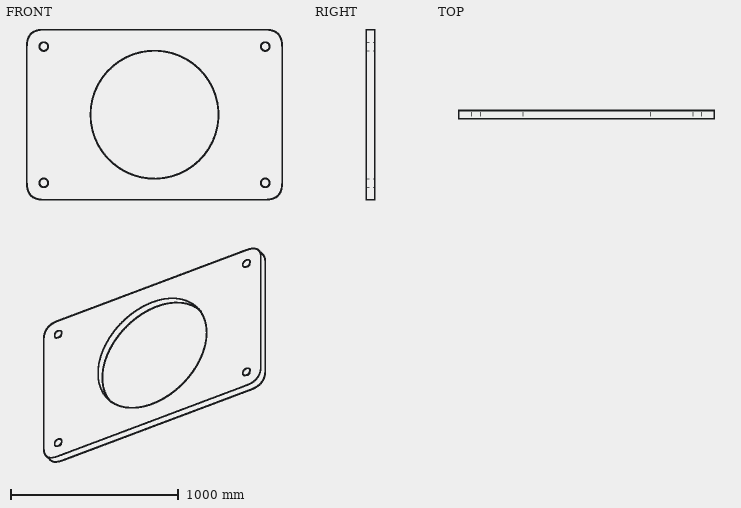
import cadquery as cq

plate_length = 1524.0
plate_height = 1016.0
plate_thickness = 50.8
corner_setback = 101.6
opening_diameter = 762.0
bolt_hole_diameter = 50.8

half_length = plate_length / 2
half_height = plate_height / 2

bolt_spacing_x = plate_length - 2 * corner_setback
bolt_spacing_z = plate_height - 2 * corner_setback


def rounded_outline(workplane):
    """Rectangle whose corners are quadratic Bezier curves pulled toward the sharp corner."""
    near_x = half_length - corner_setback
    near_z = half_height - corner_setback
    corners = [
        [(near_x, -half_height), (half_length, -half_height), (half_length, -near_z)],
        [(half_length, near_z), (half_length, half_height), (near_x, half_height)],
        [(-near_x, half_height), (-half_length, half_height), (-half_length, near_z)],
        [(-half_length, -near_z), (-half_length, -half_height), (-near_x, -half_height)],
    ]
    outline = workplane.moveTo(-near_x, -half_height)
    for corner in corners:
        outline = outline.lineTo(*corner[0]).bezier(corner)
    return outline.close()


def make_plate():
    """Upright plate centred on the origin."""
    back = cq.Workplane("XZ", origin=(0, plate_thickness / 2, 0))
    return rounded_outline(back).extrude(plate_thickness)


def cut_central_opening(plate):
    """Large round opening through the middle of the plate."""
    return plate.faces("<Y").workplane(centerOption="CenterOfBoundBox").hole(opening_diameter)


def cut_bolt_holes(plate):
    """One through hole at each corner."""
    front = plate.faces("<Y").workplane(centerOption="CenterOfBoundBox")
    centres = front.rect(bolt_spacing_x, bolt_spacing_z, forConstruction=True).vertices()
    return centres.hole(bolt_hole_diameter)


result = cut_bolt_holes(cut_central_opening(make_plate()))